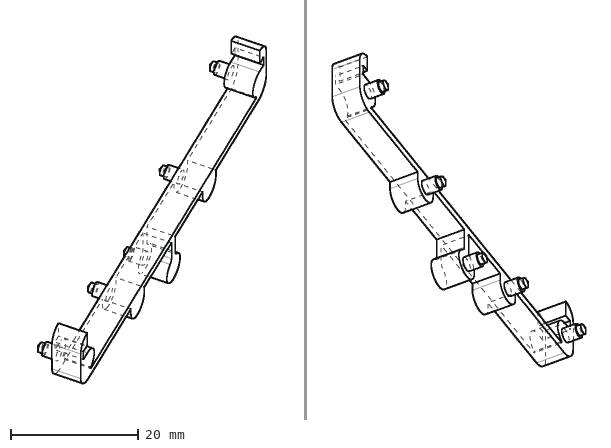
import cadquery as cq
import math

length = 70.0
half_length = length / 2
width = 5.0

bar_thickness = 1.5
bar_bottom = 9.3
bar_top = bar_bottom + bar_thickness
arm_thickness = 1.05
arm_outer_radius = 3.0
bar_end = half_length - arm_outer_radius
part_top = 20.6

hook_reach = 2.45
hook_height = 3.0

boss_radius = 2.5
end_boss_inset = 2.6
end_boss_y = half_length - end_boss_inset
end_boss_z = 13.2
end_web_width = 3.85
side_boss_y = 13.5
side_boss_z = 8.0
center_boss_z = boss_radius

stem_width = 1.5
stem_fillet = 1.0

pin_radius = 1.2
pin_length = 2.4
tip_radius = 0.85
tip_straight = 0.85
tip_cone = 0.4


def block(y_min, y_max, z_min, z_max):
    """Full-width rectangular block between the given Y and Z limits."""
    solid = cq.Workplane("XY").box(width, y_max - y_min, z_max - z_min, centered=False)
    return solid.translate((0, y_min, z_min))


def boss(y, z):
    """Full-width cylinder along X centered at (y, z)."""
    return cq.Workplane("YZ").center(y, z).circle(boss_radius).extrude(width)


def end_arm():
    """Arm at the +Y end: rounded corner, hook, boss and web under the boss."""
    hook_inner = half_length - hook_reach
    hook_bottom = part_top - hook_height
    arm_inner = half_length - arm_thickness
    web_inner = half_length - end_web_width
    arm = (
        cq.Workplane("YZ")
        .moveTo(web_inner, bar_bottom)
        .lineTo(bar_end, bar_bottom)
        .radiusArc((half_length, bar_bottom + arm_outer_radius), -arm_outer_radius)
        .lineTo(half_length, part_top - hook_reach)
        .radiusArc((hook_inner, part_top), -hook_reach)
        .lineTo(hook_inner, hook_bottom)
        .lineTo(arm_inner, hook_bottom)
        .lineTo(arm_inner, end_boss_z + boss_radius)
        .lineTo(end_boss_y, end_boss_z + boss_radius)
        .lineTo(end_boss_y, end_boss_z)
        .lineTo(web_inner, end_boss_z)
        .close()
        .extrude(width)
    )
    return arm.union(boss(end_boss_y, end_boss_z))


def side_boss():
    """Boss hanging under the bar, with straight sides up to the bar."""
    neck = block(side_boss_y - boss_radius, side_boss_y + boss_radius, side_boss_z, bar_top)
    return neck.union(boss(side_boss_y, side_boss_z))


def center_boss():
    """Boss at the end of the stem, with concave fillets where they meet."""
    half_stem = stem_width / 2
    fillet_y = half_stem + stem_fillet
    fillet_rise = math.sqrt((boss_radius + stem_fillet) ** 2 - fillet_y**2)
    touch = boss_radius / (boss_radius + stem_fillet)
    touch_y = fillet_y * touch
    touch_z = center_boss_z + fillet_rise * touch
    fillet_top = center_boss_z + fillet_rise
    stem = (
        cq.Workplane("YZ")
        .moveTo(-half_stem, bar_top)
        .lineTo(half_stem, bar_top)
        .lineTo(half_stem, fillet_top)
        .radiusArc((touch_y, touch_z), -stem_fillet)
        .lineTo(0, center_boss_z)
        .lineTo(-touch_y, touch_z)
        .radiusArc((-half_stem, fillet_top), -stem_fillet)
        .close()
        .extrude(width)
    )
    return stem.union(boss(0, center_boss_z))


def pin(y, z):
    """Stepped pin with a conical point, pointing toward -X."""
    shoulder = -pin_length
    cone_start = shoulder - tip_straight
    point = cone_start - tip_cone
    return (
        cq.Workplane("XY")
        .polyline([
            (width / 2, 0),
            (width / 2, pin_radius),
            (shoulder, pin_radius),
            (shoulder, tip_radius),
            (cone_start, tip_radius),
            (point, 0),
        ])
        .close()
        .revolve(360, (0, 0, 0), (1, 0, 0))
        .translate((0, y, z))
    )


result = block(-bar_end, bar_end, bar_bottom, bar_top).union(center_boss())
for feature in (end_arm(), side_boss()):
    result = result.union(feature).union(feature.mirror("XZ"))

pin_places = [(0, center_boss_z)]
for side in (-1, 1):
    pin_places.append((side * side_boss_y, side_boss_z))
    pin_places.append((side * end_boss_y, end_boss_z))
for pin_y, pin_z in pin_places:
    result = result.union(pin(pin_y, pin_z))